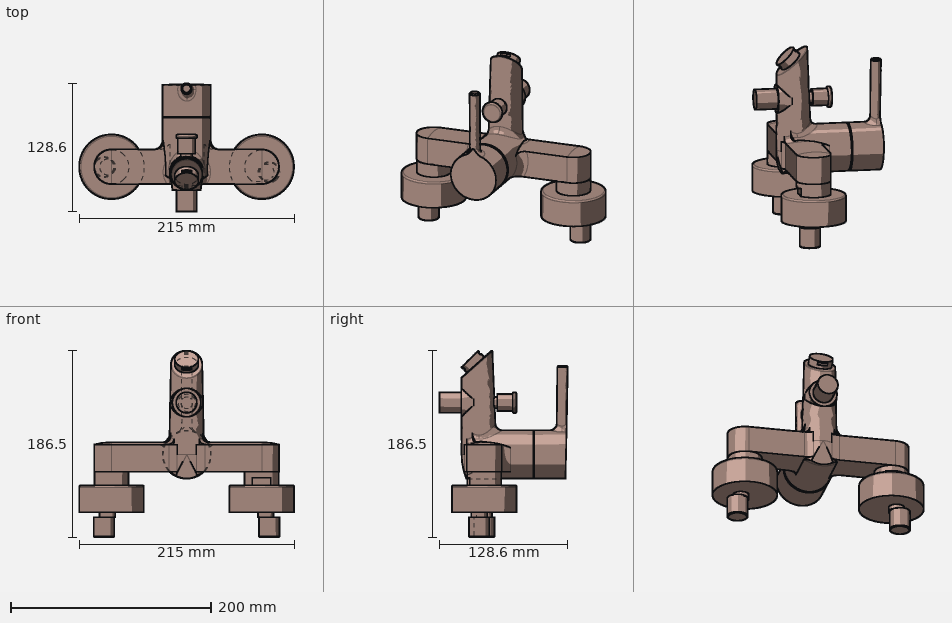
import cadquery as cq
import math


bar_radius = 17.5
bar_bottom = 65.3
bar_rim = 92.6
bar_crown = 95.0

neck_radius = 17.2
wall_flange_radius = 32.5
flange_x = 107.5 - wall_flange_radius
bar_end_x = flange_x
flange_bottom = 24.7
flange_top = 51.8
flange_round = 1.7
flat_width = 18.5
flat_height = 7.7
tail_radius = 10.3
tail_height = 20.2
tail_chamfer = 0.9
tail_shift_x = 7.5
left_tail_y = 0.0
right_tail_y = -5.2
throat_radius = 8.0
throat_shift_x = 4.0

valve_radius = 24.3
valve_z = 82.8
groove_front_y = 48.8
groove_width = 1.3
groove_depth = 0.6

cap_bottom_y = 81.3
cap_tilt = 1.3
lever_top = 171.3
lever_top_y = 78.2
lever_bottom_y = 77.0
lever_top_radius = 5.4
lever_bottom_radius = 5.0
lever_chamfer = 1.3
lever_blend = 6.5

column_front_y = -22.8
column_top = 187.2
column_top_radius = 15.5
column_base_radius = 17.6
column_base_y = column_front_y + column_base_radius
column_cut_angle = 42.0
column_rim_round = 0.6
nose_bulge_radius = 62.3

body_blend = 6.5
back_blend = 8.5
cheek_blend = 15.0
joint_half_width = 32.2
cheek_front = 20.0
shoulder_width = 25.8
shoulder_depth = 15.0

button_radius = 11.8
button_height = 5.2
button_tilt = 45.0
button_face_y = -14.5
button_face_z = 178.0
button_flat_width = 10.0
button_lip = 1.5
button_flat_height = 2.5

spout_z = 134.5
spout_tip_y = -45.0
spout_radius = 10.3
boss_radius = 14.2
boss_root_radius = 16.3
boss_step = 0.5
boss_length = 13.0
knob_stem_radius = 5.8
knob_radius = 8.5
knob_front_y = 13.0
knob_disc_radius = 10.5
knob_disc_y = 28.4
knob_disc_width = 3.9
knob_disc_round = 1.7


def rod_y(radius, y_start, y_end, z):
    """Cylinder along Y in the middle plane of the part."""
    axis = cq.Vector(0, 1, 0)
    return cq.Workplane(obj=cq.Solid.makeCylinder(radius, y_end - y_start, cq.Vector(0, y_start, z), axis))


def rod_z(radius, x, y, z_bottom, z_top):
    """Upright cylinder."""
    return cq.Workplane("XY", origin=(x, y, z_bottom)).circle(radius).extrude(z_top - z_bottom)


def crowned_profile(plane, origin):
    """Half section of the bar: straight side and gently arched top."""
    crown_rise = bar_crown - bar_rim
    crown_radius = (bar_radius**2 + crown_rise**2) / (2 * crown_rise)
    half_x = bar_radius / 2
    half_z = bar_crown - crown_radius + math.sqrt(crown_radius**2 - half_x**2)
    return (
        cq.Workplane(plane, origin=origin)
        .moveTo(0, bar_bottom)
        .lineTo(bar_radius, bar_bottom)
        .lineTo(bar_radius, bar_rim)
        .threePointArc((half_x, half_z), (0, bar_crown))
        .close()
    )


def make_bar():
    half = crowned_profile("YZ", (-bar_end_x, 0, 0)).extrude(2 * bar_end_x)
    bar = half.union(half.mirror("XZ"))
    for x in (-bar_end_x, bar_end_x):
        bar = bar.union(crowned_profile("XZ", (x, 0, 0)).revolve(360, (0, 0), (0, 1)))
    return bar.clean()


def make_column():
    return (
        cq.Workplane("XY", origin=(0, column_front_y, valve_z))
        .center(0, column_base_radius)
        .circle(column_base_radius)
        .workplane(offset=column_top - valve_z)
        .center(0, column_top_radius - column_base_radius)
        .circle(column_top_radius)
        .loft(ruled=True)
    )


def make_nose():
    """Column foot, rounded below like the housing and bulging to the front."""
    foot = rod_z(column_base_radius, 0, column_base_y, valve_z - valve_radius, valve_z)
    foot = foot.intersect(rod_y(valve_radius, 2 * column_front_y, 0, valve_z))
    bulge = cq.Workplane("YZ", origin=(-valve_radius, 0, 0))
    bulge = bulge.center(column_front_y + nose_bulge_radius, valve_z).circle(nose_bulge_radius)
    return foot.intersect(bulge.extrude(2 * valve_radius))


def joint_box(y_start, y_end, z_bottom, z_top):
    """Box in the middle of the part, used to pick the edges of a joint."""
    return cq.selectors.BoxSelector(
        (-joint_half_width, y_start, z_bottom), (joint_half_width, y_end, z_top)
    )


def bar_column_joint(bar, column):
    joint = bar.union(column)
    return joint.edges(joint_box(-bar_radius - 0.2, bar_radius, bar_rim - 0.2, bar_crown + 2.1)).fillet(body_blend)


def bar_front_joint():
    """Straight bar front flowing into the column foot."""
    slab = cq.Workplane("XY", origin=(0, 0, bar_bottom)).rect(2 * joint_half_width, 2 * bar_radius)
    slab = slab.extrude(bar_rim - bar_bottom)
    joint = slab.union(rod_z(column_base_radius, 0, column_base_y, bar_bottom, bar_rim))
    corners = cq.selectors.BoxSelector(
        (-column_base_radius, -bar_radius - 0.2, bar_bottom), (column_base_radius, 0, bar_rim)
    )
    joint = joint.edges("|Z").edges(corners).fillet(cheek_blend)
    cheeks = cq.Workplane("XY").rect(2 * joint_half_width, 2 * cheek_front).extrude(column_top)
    return joint.intersect(cheeks)


def housing_column_joint(column):
    """Housing crossing the column, with its front shoulders rounded off."""
    joint = rod_y(valve_radius, 2 * column_front_y, groove_front_y, valve_z).union(column)
    saddle = joint_box(2 * column_front_y + 0.2, groove_front_y - 0.2, valve_z + 4.3, valve_z + valve_radius + 2.1)
    joint = joint.edges(saddle).fillet(body_blend)
    keep = cq.Workplane("XY").ellipse(shoulder_width, shoulder_depth).extrude(column_top)
    keep = keep.union(
        cq.Workplane("XY").rect(2 * shoulder_width, groove_front_y, centered=(True, False)).extrude(column_top)
    )
    return joint.intersect(keep)


def bar_housing_joint(bar):
    joint = bar.union(rod_y(valve_radius, 0, groove_front_y, valve_z))
    back_edges = joint.edges(joint_box(bar_radius - 0.2, bar_radius + 0.2, bar_bottom, bar_rim)).edges("%CIRCLE")
    return back_edges.fillet(back_blend)


def make_body():
    bar = make_bar()
    column = make_column()
    body = bar_column_joint(bar, column)
    body = body.union(bar_housing_joint(bar))
    body = body.union(housing_column_joint(column))
    return body.union(make_nose()).union(bar_front_joint())


def cut_column_top(body):
    """Slope the column top down to the front and round its rim."""
    cutter = cq.Workplane("XY").rect(4 * boss_radius, 12 * boss_radius).extrude(column_top)
    cutter = cutter.rotate((0, 0, 0), (1, 0, 0), column_cut_angle)
    column_back_y = column_front_y + 2 * column_top_radius
    cutter = cutter.translate((0, column_back_y, column_top))
    body = body.cut(cutter)
    rim = cq.selectors.BoxSelector(
        (-column_top_radius, 2 * column_front_y, spout_z + boss_radius), (column_top_radius, 21.5, column_top)
    )
    return body.edges(rim).edges(">Z").fillet(column_rim_round)


def make_button():
    """Round button with a shallow flat on its upper and lower side."""
    base = -2 * button_height
    button = cq.Workplane("XY", origin=(0, 0, base)).circle(button_radius).extrude(-base)
    flat_distance = math.sqrt(button_radius**2 - (button_flat_width / 2) ** 2)
    depth = button_radius - flat_distance
    for side in (-1, 1):
        notch = cq.Workplane("XY").box(button_flat_width, 2 * depth, button_flat_height)
        notch_z = -button_lip - button_flat_height / 2
        button = button.cut(notch.translate((0, side * (flat_distance + depth), notch_z)))
    button = button.rotate((0, 0, 0), (1, 0, 0), button_tilt)
    return button.translate((0, button_face_y, button_face_z))


def make_spout():
    """Spout tube standing on a boss that widens into the column."""
    front_y = column_front_y - boss_step
    boss = cq.Workplane(
        obj=cq.Solid.makeCone(
            boss_radius,
            boss_root_radius,
            boss_length,
            cq.Vector(0, front_y, spout_z),
            cq.Vector(0, 1, 0),
        )
    )
    return boss.union(rod_y(spout_radius, spout_tip_y, column_base_y, spout_z))


def make_pull_knob():
    stem = rod_y(knob_stem_radius, column_base_y, knob_disc_y, spout_z)
    grip = rod_y(knob_radius, knob_front_y, knob_disc_y, spout_z)
    disc = rod_y(knob_disc_radius, knob_disc_y, knob_disc_y + knob_disc_width, spout_z)
    disc = disc.edges().fillet(knob_disc_round)
    return stem.union(grip).union(disc)


def make_lever_cap():
    """Cap with a slightly leaning back face, blended into an upright lever."""
    valve_bottom = valve_z - valve_radius
    joint_y = groove_front_y + groove_width
    cap = rod_y(valve_radius, joint_y, cap_bottom_y + valve_radius, valve_z)
    lean = math.tan(math.radians(cap_tilt))
    face_top_y = cap_bottom_y + lean * (lever_top - valve_bottom)
    keep = (
        cq.Workplane("YZ", origin=(-valve_radius, 0, 0))
        .polyline([(0, valve_bottom), (cap_bottom_y, valve_bottom), (face_top_y, lever_top), (0, lever_top)])
        .close()
        .extrude(2 * valve_radius)
    )
    lever = (
        cq.Workplane("XY", origin=(0, lever_bottom_y, valve_z))
        .circle(lever_bottom_radius)
        .workplane(offset=lever_top - valve_z)
        .center(0, lever_top_y - lever_bottom_y)
        .circle(lever_top_radius)
        .loft(ruled=True)
        .faces(">Z")
        .edges()
        .chamfer(lever_chamfer)
    )
    joined = cap.union(lever)
    root = cq.selectors.BoxSelector(
        (-lever_top_radius, lever_bottom_y - lever_top_radius, valve_z + valve_radius - 2.1),
        (lever_top_radius, lever_bottom_y + lever_top_radius, valve_z + valve_radius + 2.1),
    )
    joined = joined.edges(root).fillet(lever_blend).intersect(keep)
    groove = rod_y(valve_radius - groove_depth, groove_front_y - 2.1, joint_y + 2.1, valve_z)
    return joined.union(groove)


def make_inlet(side, tail_y):
    """Neck, wall flange and offset threaded tail; side is -1 or 1 along X."""
    x = side * flange_x
    neck = rod_z(neck_radius, x, 0, flange_top - 2.1, bar_bottom + 2.1)
    flange = rod_z(wall_flange_radius, x, 0, flange_bottom, flange_top)
    flange = flange.faces(">Z").edges().fillet(flange_round)
    throat = rod_z(throat_radius, x + side * throat_shift_x, tail_y, tail_height, flange_bottom + 2.1)
    tail = rod_z(tail_radius, x + side * tail_shift_x, tail_y, 0, tail_height)
    tail = tail.faces("<Z").edges().chamfer(tail_chamfer)
    return neck.union(flange).union(throat).union(tail)


def wrench_flat():
    """Flat on the front of the right neck."""
    flat_y = -math.sqrt(neck_radius**2 - (flat_width / 2) ** 2)
    flat = cq.Workplane("XY", origin=(flange_x, flat_y - neck_radius / 2, flange_top))
    return flat.rect(flat_width, neck_radius).extrude(flat_height)


body = cut_column_top(make_body())
body = body.union(make_button()).union(make_spout()).union(make_pull_knob())
body = body.union(make_lever_cap())
body = body.union(make_inlet(-1, left_tail_y)).union(make_inlet(1, right_tail_y))
result = body.cut(wrench_flat())